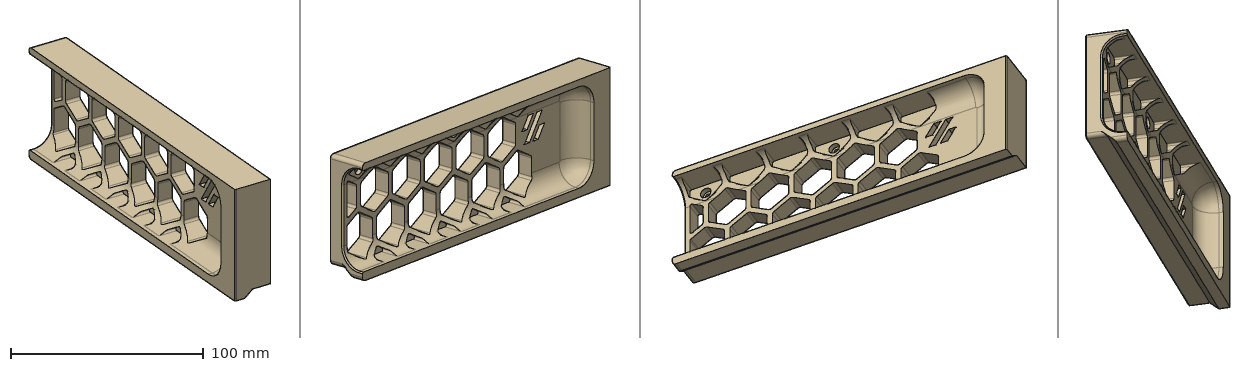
import cadquery as cq
import math

LENGTH = 195.5
DEPTH = 22.5
HEIGHT = 65.0
EDGE_CHAMFER = 0.5
END_FILLET = 2.3

STEP_HEIGHT = 4.1
SLOPE_FRONT_Y = 6.0
SLOPE_BACK_Y = 11.0

POCKET_BOTTOM = 5.0
POCKET_TOP_MARGIN = 4.0
POCKET_TOP = HEIGHT - POCKET_TOP_MARGIN
POCKET_END = 182.2
POCKET_CORNER_RADIUS = 12.0
POCKET_FLOOR_RADIUS = 11.1
POCKET_DEPTH = 13.5
MOUTH_CHAMFER = 0.8

CELL_PITCH = 25.0
CELL_FLAT_WIDTH = 21.9
CELL_ROUNDING = 2.0
TRIM_ROUNDING = 1.0
ROW_PITCH = CELL_PITCH * math.sin(math.radians(60))
ROW_1_Z = 19.4
CELL_LIMIT_X = 3.3
CELLS_PER_ROW = 6

TOLERANCE = 0.002

SCREW_DIAMETER = 3.1
HEAD_DIAMETER = 6.0
HEAD_DEPTH = 3.0
SCREW_Z = 55.5
SCREW_CELLS = (0, 3)

UPPER_SLOT_X = 141.0
LONG_SLOT_X = 143.0
LOWER_SLOT_X = 149.8
SLOT_WIDTH = 4.1
SLOT_RISE = 7.6
SLOT_LEAN = 0.65
SLOT_MID_Z = ROW_1_Z + ROW_PITCH


def make_block():
    """Raised-bottom block joined to the deeper front lip, with its edge treatments."""
    block = cq.Workplane("XY").box(LENGTH, DEPTH, HEIGHT - STEP_HEIGHT, centered=False)
    block = block.translate((0, 0, STEP_HEIGHT))
    block = block.edges("|Y and <X").fillet(END_FILLET)
    block = block.faces(">Y").edges().chamfer(EDGE_CHAMFER)

    lip_top = STEP_HEIGHT + END_FILLET
    slope_run_per_rise = (SLOPE_BACK_Y - SLOPE_FRONT_Y) / STEP_HEIGHT
    lip_profile = [
        (0, 0),
        (SLOPE_FRONT_Y, 0),
        (SLOPE_FRONT_Y + slope_run_per_rise * lip_top, lip_top),
        (0, lip_top),
    ]
    lip = cq.Workplane("YZ").polyline(lip_profile).close().extrude(LENGTH)
    lip = lip.faces("<Z").edges("<X").fillet(END_FILLET)

    block = block.union(lip)
    return block.faces("<Y").edges(">X").chamfer(EDGE_CHAMFER)


def make_pocket():
    """Round-cornered pocket with a rounded rim around its floor."""
    pocket = cq.Workplane("XY").box(
        POCKET_END, 2 * POCKET_DEPTH, POCKET_TOP - POCKET_BOTTOM, centered=(False, True, False)
    )
    pocket = pocket.translate((0, 0, POCKET_BOTTOM))
    pocket = pocket.edges(">X and |Y").fillet(POCKET_CORNER_RADIUS)
    return pocket.faces(">Y").edges("not(<X)").fillet(POCKET_FLOOR_RADIUS)


def is_on_trim_plane(edge):
    """Tell whether an edge lies where a cell is trimmed straight."""
    center = edge.Center()
    offsets = (center.x - CELL_LIMIT_X, center.z - POCKET_BOTTOM, center.z - POCKET_TOP)
    return min(abs(offset) for offset in offsets) < TOLERANCE


def make_cell(x, z, depth):
    """Rounded hexagonal prism from Y = 0, trimmed to the pocket outline."""
    corner_diameter = CELL_FLAT_WIDTH / math.cos(math.radians(30))
    cell = cq.Workplane("XZ").polygon(6, corner_diameter).extrude(-depth)
    cell = cell.edges("|Y").fillet(CELL_ROUNDING)
    cell = cell.rotate((0, 0, 0), (0, 1, 0), 30).translate((x, 0, z))
    limit = cq.Workplane("XY").box(
        LENGTH, 3 * DEPTH, POCKET_TOP - POCKET_BOTTOM, centered=(False, True, False)
    )
    cell = cell.intersect(limit.translate((CELL_LIMIT_X, 0, POCKET_BOTTOM)))
    trimmed_edges = cell.edges("|Y").filter(is_on_trim_plane)
    if trimmed_edges.size() == 0:
        return cell
    return trimmed_edges.fillet(TRIM_ROUNDING)


def cut_honeycomb(body):
    """Two rows of through cells between two rows of half cells level with the pocket floor."""
    for column in range(CELLS_PER_ROW):
        aligned_x = column * CELL_PITCH
        shifted_x = aligned_x + CELL_PITCH / 2
        body = body.cut(make_cell(shifted_x, ROW_1_Z, DEPTH))
        body = body.cut(make_cell(aligned_x, ROW_1_Z + ROW_PITCH, DEPTH))
        body = body.cut(make_cell(shifted_x, ROW_1_Z + 2 * ROW_PITCH, POCKET_DEPTH))
        if column > 0:
            body = body.cut(make_cell(aligned_x, ROW_1_Z - ROW_PITCH, POCKET_DEPTH))
    return body


def cut_screw_hole(body, x):
    """Counterbored hole through the floor of an upper half cell."""
    head = cq.Workplane("XZ").circle(HEAD_DIAMETER / 2).extrude(-(POCKET_DEPTH + HEAD_DEPTH))
    shank = cq.Workplane("XZ").circle(SCREW_DIAMETER / 2).extrude(-DEPTH)
    return body.cut(head.union(shank).translate((x, 0, SCREW_Z)))


def cut_slot(body, start_x, bottom_z, top_z):
    """Through slot leaning toward +X, with level ends."""
    lean = SLOT_LEAN * (top_z - bottom_z)
    outline = [
        (start_x, bottom_z),
        (start_x + SLOT_WIDTH, bottom_z),
        (start_x + SLOT_WIDTH + lean, top_z),
        (start_x + lean, top_z),
    ]
    return body.cut(cq.Workplane("XZ").polyline(outline).close().extrude(-DEPTH))


def chamfer_mouth(body):
    """Chamfer along the pocket's outline in the X = 0 end face."""
    mouth = cq.selectors.BoxSelector(
        (-TOLERANCE, -TOLERANCE, POCKET_BOTTOM - TOLERANCE),
        (TOLERANCE, POCKET_DEPTH + TOLERANCE, POCKET_TOP + TOLERANCE),
    )
    return body.edges(mouth).chamfer(MOUTH_CHAMFER)


body = make_block().cut(make_pocket())
body = chamfer_mouth(body)
body = cut_honeycomb(body)

for cell_index in SCREW_CELLS:
    body = cut_screw_hole(body, (cell_index + 0.5) * CELL_PITCH)

slot_low = SLOT_MID_Z - SLOT_RISE
slot_high = SLOT_MID_Z + SLOT_RISE
body = cut_slot(body, UPPER_SLOT_X, SLOT_MID_Z, slot_high)
body = cut_slot(body, LONG_SLOT_X, slot_low, slot_high)
body = cut_slot(body, LOWER_SLOT_X, slot_low, SLOT_MID_Z)

result = body